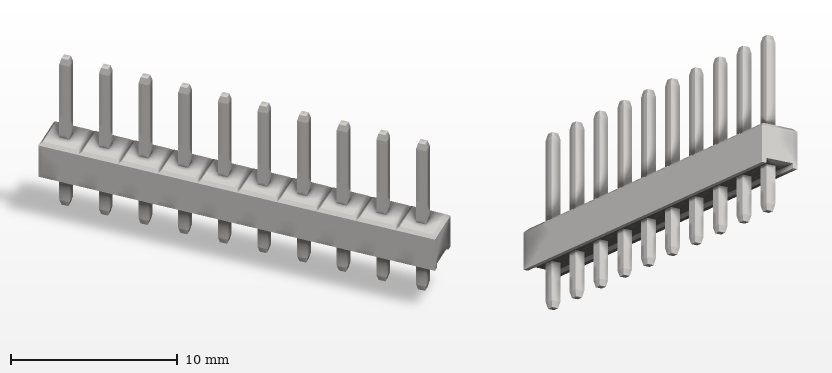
import cadquery as cq

unit_count = 10
pitch = 2.55

block_height = 2.55
block_chamfer = 0.2
foot_width = 0.3
foot_height = 0.3

pin_width = 0.64
pin_length_above = 5.9
pin_length_below = 2.55
tip_length = 0.4
tip_inset = 0.1


def make_block():
    """Block with a chamfered top rim and a channel along X that leaves two feet."""
    block = cq.Workplane("XY").box(pitch, pitch, block_height, centered=(True, True, False))
    block = block.faces(">Z").edges().chamfer(block_chamfer)
    channel_width = pitch - 2 * foot_width
    channel = cq.Workplane("XY").box(pitch, channel_width, foot_height, centered=(True, True, False))
    return block.cut(channel)


def make_pin():
    """Upright square pin with a tapered, flat-ended tip at each end."""
    bottom_shoulder = tip_length - pin_length_below
    top_shoulder = block_height + pin_length_above - tip_length
    shank = (
        cq.Workplane("XY", origin=(0, 0, bottom_shoulder))
        .rect(pin_width, pin_width)
        .extrude(top_shoulder - bottom_shoulder)
    )
    top_tip = make_tip().translate((0, 0, top_shoulder))
    bottom_tip = make_tip().mirror("XY").translate((0, 0, bottom_shoulder))
    return shank.union(top_tip).union(bottom_tip)


def make_tip():
    """Square frustum that narrows upward from Z = 0."""
    end_width = pin_width - 2 * tip_inset
    return (
        cq.Workplane("XY")
        .rect(pin_width, pin_width)
        .workplane(offset=tip_length)
        .rect(end_width, end_width)
        .loft(ruled=True)
    )


pin_unit = make_block().union(make_pin())
first_x = -pitch * (unit_count - 1) / 2
pin_units = []
for index in range(unit_count):
    placed_unit = pin_unit.translate((first_x + index * pitch, 0, 0))
    pin_units.append(placed_unit.solids().val())

result = cq.Compound.makeCompound(pin_units)